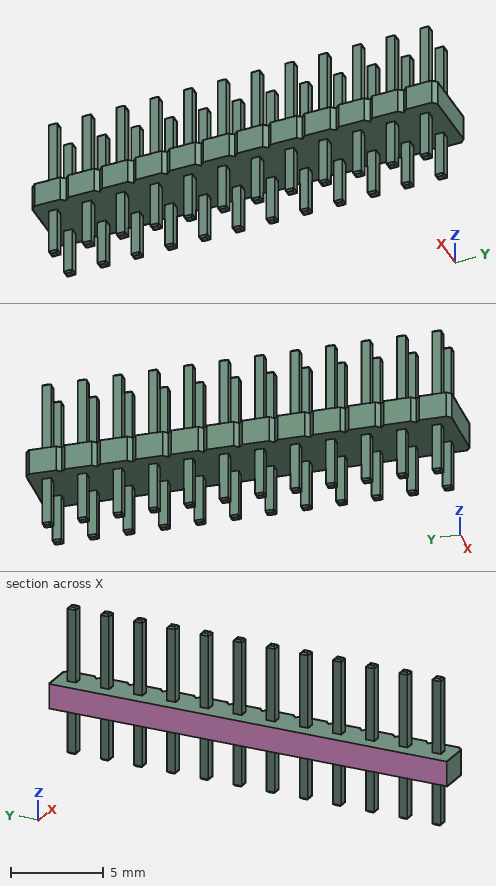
import cadquery as cq


row_count = 12
column_count = 2
length = 24.0
pitch = length / row_count
width = column_count * pitch

body_height = 1.5
body_chamfer = 0.25

pin_size = 0.5
pin_length = 8.7
pin_below = 2.8
pin_chamfer = 0.1


def make_body():
    """One chamfered segment per pin pair; neighbouring chamfers form the V notches."""
    segment = cq.Workplane("XY").box(width, pitch, body_height, centered=(True, True, False))
    segment = segment.edges("|Z").chamfer(body_chamfer)
    centers = cq.Workplane("XY").rarray(width, pitch, 1, row_count)
    return centers.eachpoint(lambda place: segment.val().moved(place), combine=True)


def make_pins():
    """Square pins with chamfered ends, on a square grid centred on the body."""
    pin = cq.Workplane("XY").box(pin_size, pin_size, pin_length, centered=(True, True, False))
    pin = pin.faces("<Z or >Z").chamfer(pin_chamfer)
    pin = pin.translate((0, 0, -pin_below))
    centers = cq.Workplane("XY").rarray(pitch, pitch, column_count, row_count)
    return centers.eachpoint(lambda place: pin.val().moved(place))


result = make_body().union(make_pins()).clean()